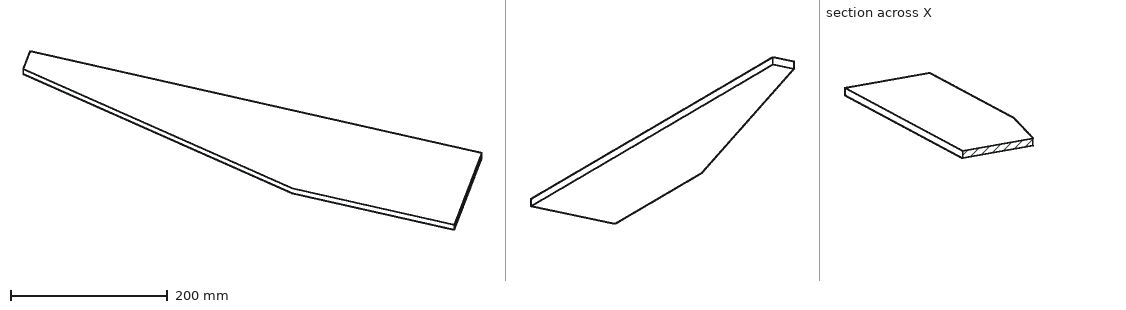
import cadquery as cq

length = 600.0
width = 125.0
thickness = 10.0

tip_width = 31.0
taper_length = 385.0

outline = [
    (0, width),
    (0, width - tip_width),
    (taper_length, 0),
    (length, 0),
    (length, width),
]

result = cq.Workplane("XY").polyline(outline).close().extrude(thickness)